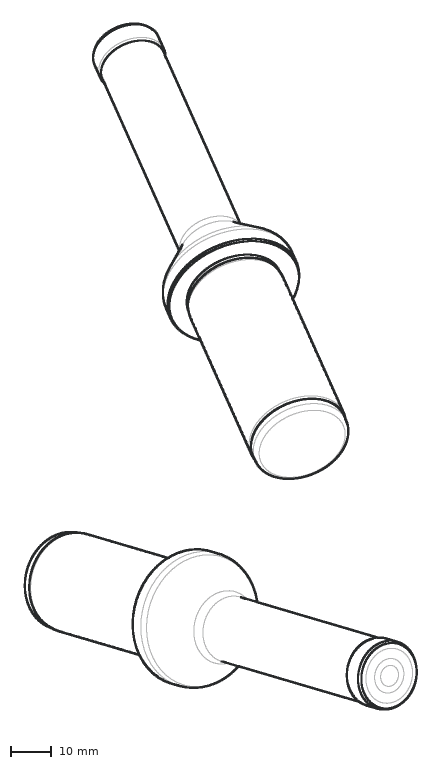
import cadquery as cq
import math

LENGTH = 146.0

nose_radius = 8.6
nose_edge_radius = 8.2
nose_chamfer_length = 1.0
nose_land_end = 5.8
nose_end = 6.5
face_ring_radius = 6.9
face_setback = 0.1
border_fall = 0.07
ring_foot_radius = 4.3
dimple_radius = 2.6
dimple_depth = 0.5

shaft_radius = 16.5 / 2
flange_radius = 34.0 / 2
cone_angle = math.radians(36)
neck_start = 71.2
neck_fillet = 4.7
flange_round = 2.9
flange_back = 90.0
flange_chamfer_length = 0.6
flange_chamfer_height = 0.3

core_radius = 24.5 / 2
end_round = 1.2
sleeve_radius = 25.0 / 2
sleeve_start = 91.1
sleeve_end = 143.1
sleeve_chamfer_length = 0.9
sleeve_chamfer_height = 0.1


def fillet_rise(radius, angle):
    """Radial rise of an arc that starts along the axis and turns by the angle."""
    return radius * (1 - math.cos(angle))


def make_spindle():
    border_x = face_setback + border_fall

    cone_x = neck_start + neck_fillet * math.sin(cone_angle)
    cone_radius = shaft_radius + fillet_rise(neck_fillet, cone_angle)
    cone_top_radius = flange_radius - fillet_rise(flange_round, cone_angle)
    cone_top_x = cone_x + (cone_top_radius - cone_radius) / math.tan(cone_angle)
    flange_x = cone_top_x + flange_round * math.sin(cone_angle)

    return (
        cq.Workplane("XY")
        .moveTo(dimple_depth, 0)
        .lineTo(0, dimple_radius)
        .lineTo(face_setback, ring_foot_radius)
        .lineTo(face_setback, face_ring_radius)
        .lineTo(border_x, nose_edge_radius)
        .lineTo(nose_chamfer_length, nose_radius)
        .lineTo(nose_land_end, nose_radius)
        .tangentArcPoint((nose_end, shaft_radius), relative=False)
        .lineTo(neck_start, shaft_radius)
        .tangentArcPoint((cone_x, cone_radius), relative=False)
        .lineTo(cone_top_x, cone_top_radius)
        .tangentArcPoint((flange_x, flange_radius), relative=False)
        .lineTo(flange_back - flange_chamfer_length, flange_radius)
        .lineTo(flange_back, flange_radius - flange_chamfer_height)
        .lineTo(flange_back, core_radius)
        .lineTo(LENGTH - end_round, core_radius)
        .tangentArcPoint((LENGTH, core_radius - end_round), relative=False)
        .lineTo(LENGTH, 0)
        .close()
        .revolve(360, (0, 0, 0), (1, 0, 0))
    )


def make_sleeve():
    end_radius = sleeve_radius - sleeve_chamfer_height
    return (
        cq.Workplane("XY")
        .moveTo(sleeve_start, core_radius)
        .lineTo(sleeve_start, end_radius)
        .lineTo(sleeve_start + sleeve_chamfer_length, sleeve_radius)
        .lineTo(sleeve_end - sleeve_chamfer_length, sleeve_radius)
        .lineTo(sleeve_end, end_radius)
        .lineTo(sleeve_end, core_radius)
        .close()
        .revolve(360, (0, 0, 0), (1, 0, 0))
    )


spindle = make_spindle()
sleeve = make_sleeve()

result = cq.Compound.makeCompound([spindle.val(), sleeve.val()])